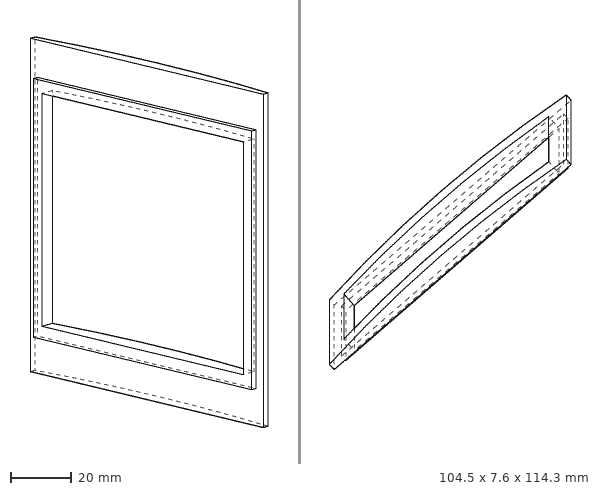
import cadquery as cq

plate_width = 104.5
plate_height = 114.3
edge_thickness = 2.4
crown_thickness = 5.5

rim_width = 97.8
rim_height = 88.7
rim_depth = 2.1

window_width = 90.3
window_height = 79.8


def make_plate():
    """Plate with a flat -Y face and a +Y face crowned along X."""
    half_width = plate_width / 2
    return (
        cq.Workplane("XY")
        .moveTo(-half_width, 0)
        .lineTo(half_width, 0)
        .lineTo(half_width, edge_thickness)
        .threePointArc((0, crown_thickness), (-half_width, edge_thickness))
        .close()
        .extrude(plate_height / 2, both=True)
    )


def make_block(width, height, y_start, depth):
    """Box centred in X and Z that extends from y_start toward +Y."""
    return cq.Workplane("XY").box(width, depth, height).translate((0, y_start + depth / 2, 0))


rim = make_block(rim_width, rim_height, -rim_depth, rim_depth)
window = make_block(window_width, window_height, -rim_depth, rim_depth + crown_thickness)

result = make_plate().union(rim).cut(window)